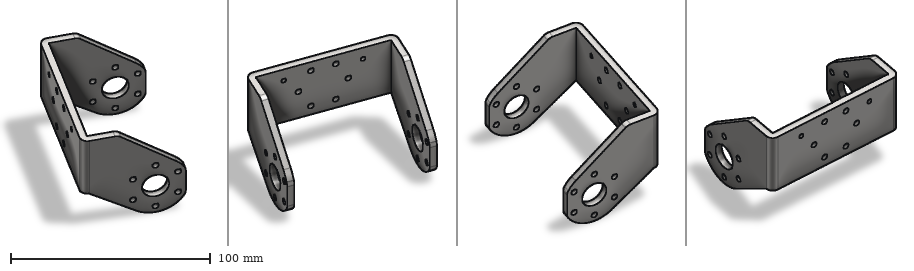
import cadquery as cq
import math

width = 81.3
depth = 54.2
sheet = 4.0
bend_radius = 4.15
web_height = 34.95

ear_radius = 17.6
bore_y = 38.45
bore_z = ear_radius
height = 54.95
bore_diameter = 14.0
ear_hole_diameter = 3.2
ear_hole_circle = 27.0
ear_hole_count = 6
top_corner_y = 19.1
ear_corner_radius = 5.0

web_hole_diameter = 3.2
web_hole_circle = 27.0
web_hole_count = 6
web_hole_drop = 17.5
small_hole_diameter = 2.5
small_hole_spacing = 43.1
small_hole_drop = 7.4

web_bottom = height - web_height


def tangent_point(y, z, side):
    """Point where a line from (y, z) touches the ear circle; side is +1 or -1."""
    dy = y - bore_y
    dz = z - bore_z
    angle = math.atan2(dz, dy) + side * math.acos(ear_radius / math.hypot(dy, dz))
    return bore_y + ear_radius * math.cos(angle), bore_z + ear_radius * math.sin(angle)


def circle_point(angle):
    """Point on the ear circle; angle is measured from +Y toward +Z."""
    return bore_y + ear_radius * math.cos(angle), bore_z + ear_radius * math.sin(angle)


def make_side_profile():
    """Solid with the ear outline, spanning the full width."""
    upper = tangent_point(top_corner_y, height, -1)
    lower = tangent_point(sheet, web_bottom, 1)
    nose_angle = math.acos((depth - bore_y) / ear_radius)
    upper_angle = math.atan2(upper[1] - bore_z, upper[0] - bore_y)
    solid = (
        cq.Workplane("YZ")
        .moveTo(0, web_bottom)
        .lineTo(0, height)
        .lineTo(top_corner_y, height)
        .lineTo(*upper)
        .threePointArc(circle_point((upper_angle + nose_angle) / 2), circle_point(nose_angle))
        .lineTo(*circle_point(-nose_angle))
        .threePointArc(circle_point(-math.pi / 2), lower)
        .lineTo(sheet, web_bottom)
        .close()
        .extrude(width / 2, both=True)
    )
    corners = [
        (top_corner_y, height),
        circle_point(nose_angle),
        circle_point(-nose_angle),
    ]
    for y, z in corners:
        corner = cq.selectors.NearestToPointSelector((0, y, z))
        solid = solid.edges(corner).fillet(ear_corner_radius)
    return solid


def make_channel():
    """U-shaped sheet with rounded outer bends and sharp inner corners."""
    outer = (
        cq.Workplane("XY")
        .rect(width, 2 * depth)
        .extrude(height)
        .intersect(cq.Workplane("XY").box(width, depth, height, centered=(True, False, False)))
        .edges("|Z and <Y")
        .fillet(bend_radius)
    )
    inner = cq.Workplane("XY").box(width - 2 * sheet, depth, height, centered=(True, False, False))
    return outer.cut(inner.translate((0, sheet, 0)))


def make_ear_holes():
    """Bore and surrounding ring of holes, through both ears."""
    plane = cq.Workplane("YZ").center(bore_y, bore_z)
    bore = plane.circle(bore_diameter / 2).extrude(width, both=True)
    ring = (
        plane.polarArray(ear_hole_circle / 2, 90, 360, ear_hole_count)
        .circle(ear_hole_diameter / 2)
        .extrude(width, both=True)
    )
    return bore.union(ring)


def make_web_holes():
    """Hexagon of holes and the two small outer holes, through the web."""
    plane = cq.Workplane("XZ").center(0, height - web_hole_drop)
    ring = (
        plane.polarArray(web_hole_circle / 2, 0, 360, web_hole_count)
        .circle(web_hole_diameter / 2)
        .extrude(-sheet)
    )
    small = (
        plane.center(0, web_hole_drop - small_hole_drop)
        .rarray(small_hole_spacing, 0.8, 2, 1)
        .circle(small_hole_diameter / 2)
        .extrude(-sheet)
    )
    return ring.union(small)


result = make_side_profile().intersect(make_channel()).cut(make_ear_holes()).cut(make_web_holes())